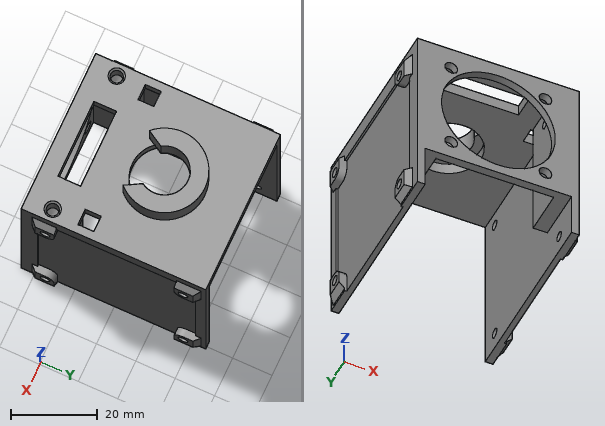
import cadquery as cq
import math

TOTAL_WIDTH = 44.2
TOTAL_HEIGHT = 52.3
DEPTH = 46.9
COLLAR_HEIGHT = 5.75
HOUSING_HEIGHT = TOTAL_HEIGHT - COLLAR_HEIGHT

PAD_RISE = 1.45
PAD_BEVEL_ANGLE = 45
PAD_SIZE = 4.8
PAD_ROUND = 2.4
PAD_HOLE_DIAMETER = 2.4
PAD_HOLE_INSET = 2.5
RECESS_SIZE = 40.05
RECESS_FRONT = 4.25
RECESS_FOOT = 2.2
RECESS_DEPTH = 0.5
RECESS_MIDDLE_Y = RECESS_FRONT + RECESS_SIZE / 2
RECESS_MIDDLE_Z = RECESS_FOOT + RECESS_SIZE / 2

HOUSING_WIDTH = TOTAL_WIDTH - 2 * PAD_RISE
HALF_WIDTH = HOUSING_WIDTH / 2
SIDE_WALL = 2.0
FRONT_WALL = 2.0
TOP_WALL = 3.0
FRONT_PANEL_FOOT = 11.6
INNER_HALF_WIDTH = HALF_WIDTH - SIDE_WALL

FAN_DIAMETER = 29.0
FAN_HEIGHT = 28.5
FAN_SCREW_DIAMETER = 3.2
FAN_SCREW_SPACING = 24.0

BLOCK_INNER_X = 15.0
BLOCK_BACK = 13.15
SCREW_X = 17.7
SCREW_Y = 6.7
SCREW_DIAMETER = 3.05
SCREW_DEPTH = 4.0
SCREW_MOUTH_DIAMETER = 4.0
SCREW_TIP_ANGLE = 90

SQUARE_SIZE = 4.05
SQUARE_X = 16.6
SQUARE_Y = 15.55
SLOT_LENGTH = 19.9
SLOT_WIDTH = 5.75
SLOT_Y = 7.3
TOP_HOLE_DIAMETER = 16.4

COLLAR_Y = 27.0
COLLAR_DIAMETER = 20.45
COLLAR_BORE = 11.8
GAP_AXIS_HALF_WIDTH = 3.1
GAP_HALF_ANGLE = 30


def box(x_range, y_range, z_range):
    """Axis-aligned block from its three coordinate ranges."""
    size = [end - start for start, end in (x_range, y_range, z_range)]
    corner = (x_range[0], y_range[0], z_range[0])
    return cq.Workplane("XY").box(*size, centered=False).translate(corner)


def shell():
    """Top, front and two side walls; the back and the bottom are open."""
    body = box((-HALF_WIDTH, HALF_WIDTH), (0, DEPTH), (0, HOUSING_HEIGHT))
    inside = box(
        (-INNER_HALF_WIDTH, INNER_HALF_WIDTH), (FRONT_WALL, DEPTH), (0, HOUSING_HEIGHT - TOP_WALL)
    )
    below_panel = box((-INNER_HALF_WIDTH, INNER_HALF_WIDTH), (0, FRONT_WALL), (0, FRONT_PANEL_FOOT))
    return body.cut(inside).cut(below_panel)


def right_screw_block():
    """Solid corner behind the front panel, against the +X wall."""
    return box((BLOCK_INNER_X, INNER_HALF_WIDTH), (0, BLOCK_BACK), (FRONT_PANEL_FOOT, HOUSING_HEIGHT))


def pad_footprints(start_x, length, foot_extension=0):
    """Four corner pads of the recess square, inner corners rounded, extruded along +X."""
    outer = RECESS_SIZE / 2 + PAD_RISE
    inner = RECESS_SIZE / 2 - PAD_SIZE
    pads = cq.Workplane("YZ")
    for side_y in (-1, 1):
        for side_z in (-1, 1):
            far = outer + (foot_extension if side_z < 0 else 0)
            pad = (
                cq.Workplane("YZ", origin=(start_x, RECESS_MIDDLE_Y, RECESS_MIDDLE_Z))
                .moveTo(side_y * (inner + outer) / 2, side_z * (inner + far) / 2)
                .rect(outer - inner, far - inner)
                .extrude(length)
            )
            inner_y = RECESS_MIDDLE_Y + side_y * inner
            inner_z = RECESS_MIDDLE_Z + side_z * inner
            inner_edge = cq.selectors.NearestToPointSelector((start_x + length / 2, inner_y, inner_z))
            pads = pads.add(pad.edges("|X").edges(inner_edge).fillet(PAD_ROUND))
    return pads.combine()


def right_recess():
    """Shallow pocket in the +X face around the pads, open at the foot of the wall."""
    floor = HALF_WIDTH - RECESS_DEPTH
    pocket = box(
        (floor, HALF_WIDTH),
        (RECESS_FRONT, RECESS_FRONT + RECESS_SIZE),
        (0, RECESS_FOOT + RECESS_SIZE),
    )
    return pocket.cut(pad_footprints(floor, RECESS_DEPTH, foot_extension=RECESS_FOOT))


def right_pads():
    """Raised pads on the +X face, bevelled on their outer edges."""
    base = RECESS_SIZE + 2 * PAD_RISE
    frustum = (
        cq.Workplane("YZ", origin=(HALF_WIDTH, RECESS_MIDDLE_Y, RECESS_MIDDLE_Z))
        .rect(base, base)
        .extrude(PAD_RISE, taper=PAD_BEVEL_ANGLE)
    )
    return pad_footprints(HALF_WIDTH, PAD_RISE).intersect(frustum)


def pad_holes():
    """Holes along X through the pads and both side walls."""
    spacing = RECESS_SIZE - 2 * PAD_HOLE_INSET
    return (
        cq.Workplane("YZ", origin=(0, RECESS_MIDDLE_Y, RECESS_MIDDLE_Z))
        .rect(spacing, spacing, forConstruction=True)
        .vertices()
        .circle(PAD_HOLE_DIAMETER / 2)
        .extrude(TOTAL_WIDTH / 2, both=True)
    )


def fan_openings():
    """Large round opening and four screw holes through the front panel."""
    panel = cq.Workplane("XZ", origin=(0, 0, FAN_HEIGHT))
    opening = panel.circle(FAN_DIAMETER / 2).extrude(-FRONT_WALL)
    screws = (
        panel.rect(FAN_SCREW_SPACING, FAN_SCREW_SPACING, forConstruction=True)
        .vertices()
        .circle(FAN_SCREW_DIAMETER / 2)
        .extrude(-FRONT_WALL)
    )
    return opening.union(screws)


def top_openings():
    """Collar hole, front slot and two square holes through the top plate."""
    plate = cq.Workplane("XY", origin=(0, 0, HOUSING_HEIGHT))
    hole = plate.center(0, COLLAR_Y).circle(TOP_HOLE_DIAMETER / 2).extrude(-TOP_WALL)
    slot = plate.center(0, SLOT_Y).rect(SLOT_LENGTH, SLOT_WIDTH).extrude(-TOP_WALL)
    squares = (
        plate.pushPoints([(-SQUARE_X, SQUARE_Y), (SQUARE_X, SQUARE_Y)])
        .rect(SQUARE_SIZE, SQUARE_SIZE)
        .extrude(-TOP_WALL)
    )
    return hole.union(slot).union(squares)


def right_screw_hole():
    """Blind hole with a 45 degree countersink and a drill-point end."""
    radius = SCREW_DIAMETER / 2
    mouth_radius = SCREW_MOUTH_DIAMETER / 2
    tip_depth = SCREW_DEPTH + radius / math.tan(math.radians(SCREW_TIP_ANGLE / 2))
    profile = [
        (0, 0),
        (mouth_radius, 0),
        (radius, radius - mouth_radius),
        (radius, -SCREW_DEPTH),
        (0, -tip_depth),
    ]
    return (
        cq.Workplane("XZ")
        .polyline(profile)
        .close()
        .revolve(360, (0, 0), (0, 1))
        .translate((SCREW_X, SCREW_Y, HOUSING_HEIGHT))
    )


def with_mirror(right_side):
    """A +X feature together with its mirror image on the -X side."""
    return right_side.union(right_side.mirror("YZ"))


def make_housing():
    body = shell().union(with_mirror(right_screw_block()))
    body = body.cut(with_mirror(right_recess())).union(with_mirror(right_pads()))
    for openings in (pad_holes(), fan_openings(), top_openings(), with_mirror(right_screw_hole())):
        body = body.cut(openings)
    return body


def make_collar():
    """Ring with a wedge-shaped gap towards the front."""
    base = cq.Workplane("XY", origin=(0, COLLAR_Y, HOUSING_HEIGHT))
    ring = base.circle(COLLAR_DIAMETER / 2).circle(COLLAR_BORE / 2).extrude(COLLAR_HEIGHT)
    reach = COLLAR_DIAMETER / 2
    half_gap = GAP_AXIS_HALF_WIDTH + reach * math.tan(math.radians(GAP_HALF_ANGLE))
    wedge = (
        base.moveTo(-GAP_AXIS_HALF_WIDTH, 0)
        .lineTo(-half_gap, -reach)
        .lineTo(half_gap, -reach)
        .lineTo(GAP_AXIS_HALF_WIDTH, 0)
        .close()
        .extrude(COLLAR_HEIGHT)
    )
    return ring.cut(wedge)


housing = make_housing()
collar = make_collar()

result = cq.Compound.makeCompound([housing.val(), collar.val()])